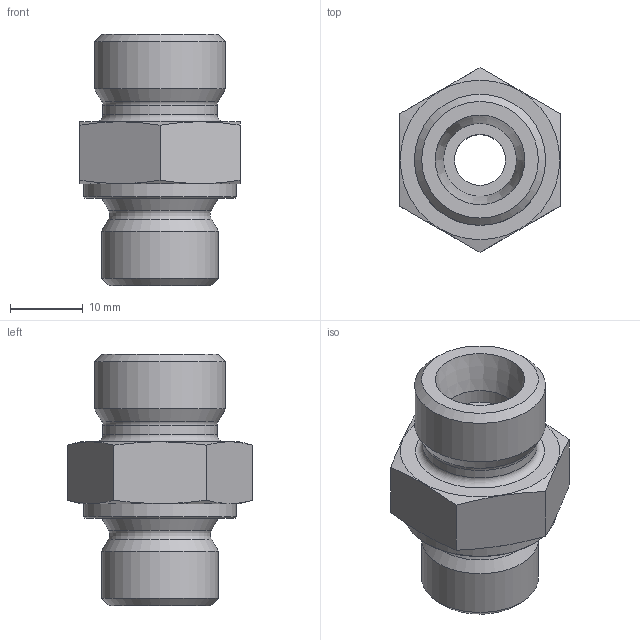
import cadquery as cq
import math


total_height = 34.5
hex_bottom_z = 14.0
hex_top_z = 22.5
collar_bottom_z = 12.0
stud_thread_top_z = 7.5
tube_thread_length = 7.5

stud_radius = 16.0 / 2
collar_radius = 21.0 / 2
neck_radius = 15.7 / 2
tube_thread_radius = 18.0 / 2

thread_chamfer = 1.0
collar_chamfer = 0.2
runout_angle = math.radians(30)
groove_round_radius = 1.25
neck_runout_radius = 1.0
neck_base_radius = 1.0

hex_across_flats = 22.0
hex_half_side_degrees = 360 / 6 / 2
hex_chamfer_circle_radius = 21.9 / 2
hex_chamfer_angle = math.radians(15)

bore_radius = 7.0 / 2
tube_radius = 10.0 / 2
cone_mouth_radius = 12.3 / 2
cone_half_angle = math.radians(12)
tube_stop_depth = 7.35


def turned(profile):
    """Revolve a closed half profile, drawn as (radius, z), about the Z axis."""
    return profile.close().revolve(360, (0, 0, 0), (0, 1, 0))


def make_stud():
    """Chamfered stud with a round-bottomed V groove below the collar, and the collar itself."""
    groove_middle_z = (stud_thread_top_z + collar_bottom_z) / 2
    groove_half_width = (collar_bottom_z - stud_thread_top_z) / 2
    groove_tip_radius = stud_radius - groove_half_width * math.tan(runout_angle)
    round_center_radius = groove_tip_radius + groove_round_radius / math.cos(runout_angle)
    tangent_radius = round_center_radius - groove_round_radius * math.cos(runout_angle)
    tangent_offset = groove_round_radius * math.sin(runout_angle)
    return turned(
        cq.Workplane("XZ")
        .moveTo(0, 0)
        .lineTo(stud_radius - thread_chamfer, 0)
        .lineTo(stud_radius, thread_chamfer)
        .lineTo(stud_radius, stud_thread_top_z)
        .lineTo(tangent_radius, groove_middle_z - tangent_offset)
        .threePointArc(
            (round_center_radius - groove_round_radius, groove_middle_z),
            (tangent_radius, groove_middle_z + tangent_offset),
        )
        .lineTo(stud_radius, collar_bottom_z)
        .lineTo(collar_radius - collar_chamfer, collar_bottom_z)
        .lineTo(collar_radius, collar_bottom_z + collar_chamfer)
        .lineTo(collar_radius, hex_bottom_z)
        .lineTo(0, hex_bottom_z)
    )


def make_hexagon():
    """Hexagon with both ends turned to a shallow cone that trims the corners."""
    height = hex_top_z - hex_bottom_z
    corner_radius = hex_across_flats / 2 / math.cos(math.radians(hex_half_side_degrees))
    prism = (
        cq.Workplane("XY")
        .workplane(offset=hex_bottom_z)
        .polygon(6, 2 * corner_radius)
        .extrude(height)
        .rotate((0, 0, 0), (0, 0, 1), hex_half_side_degrees)
    )
    corner_drop = (corner_radius - hex_chamfer_circle_radius) * math.tan(hex_chamfer_angle)
    envelope = turned(
        cq.Workplane("XZ")
        .moveTo(0, hex_bottom_z)
        .lineTo(hex_chamfer_circle_radius, hex_bottom_z)
        .lineTo(corner_radius, hex_bottom_z + corner_drop)
        .lineTo(corner_radius, hex_top_z - corner_drop)
        .lineTo(hex_chamfer_circle_radius, hex_top_z)
        .lineTo(0, hex_top_z)
    )
    return prism.intersect(envelope)


def make_tube_end():
    """Upper thread body on a neck that flares into the top of the hexagon."""
    thread_bottom_z = total_height - tube_thread_length
    runout_height = (tube_thread_radius - neck_radius) / math.tan(runout_angle)
    runout_tip_z = thread_bottom_z - runout_height
    tangent_length = neck_runout_radius * math.tan(runout_angle / 2)
    neck_top_z = runout_tip_z - tangent_length
    round_center_radius = neck_radius + neck_runout_radius

    def runout_round_point(angle):
        return (
            round_center_radius - neck_runout_radius * math.cos(angle),
            neck_top_z + neck_runout_radius * math.sin(angle),
        )

    base_center_radius = neck_radius + neck_base_radius
    base_center_z = hex_top_z + neck_base_radius
    base_diagonal = neck_base_radius * math.sqrt(0.5)
    return turned(
        cq.Workplane("XZ")
        .moveTo(0, hex_top_z)
        .lineTo(base_center_radius, hex_top_z)
        .threePointArc(
            (base_center_radius - base_diagonal, base_center_z - base_diagonal),
            (neck_radius, base_center_z),
        )
        .lineTo(neck_radius, neck_top_z)
        .threePointArc(runout_round_point(runout_angle / 2), runout_round_point(runout_angle))
        .lineTo(tube_thread_radius, thread_bottom_z)
        .lineTo(tube_thread_radius, total_height - thread_chamfer)
        .lineTo(tube_thread_radius - thread_chamfer, total_height)
        .lineTo(0, total_height)
    )


def make_passage():
    """Through bore that opens into the tube socket and its sealing cone."""
    cone_depth = (cone_mouth_radius - tube_radius) / math.tan(cone_half_angle)
    tube_stop_z = total_height - tube_stop_depth
    return turned(
        cq.Workplane("XZ")
        .moveTo(0, 0)
        .lineTo(bore_radius, 0)
        .lineTo(bore_radius, tube_stop_z)
        .lineTo(tube_radius, tube_stop_z)
        .lineTo(tube_radius, total_height - cone_depth)
        .lineTo(cone_mouth_radius, total_height)
        .lineTo(0, total_height)
    )


body = make_stud().union(make_hexagon()).union(make_tube_end())
result = body.cut(make_passage())